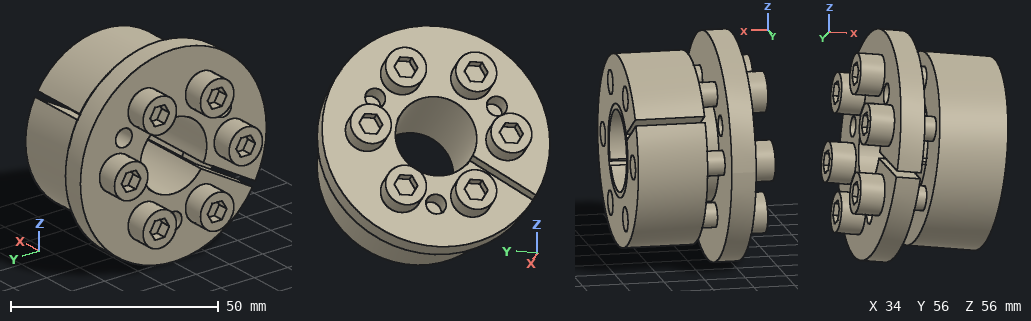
import cadquery as cq
import math


flange_thickness = 6.0
ring_gap = 5.0
ring_length = 17.0
ring_start = flange_thickness + ring_gap
ring_end = ring_start + ring_length

flange_diameter = 56.0
bore_diameter = 20.0

cone_root_diameter = 26.6
cone_half_angle = 5.0

ring_diameter = 47.0

slit_width = 1.5
ring_slit_angle = 30.0
sleeve_slit_angle = ring_slit_angle + 180.0

screw_count = 6
bolt_circle_diameter = 34.5
shank_diameter = 6.0
head_diameter = 10.0
head_height = 6.0
socket_across_flats = 5.0
socket_depth = 3.0

jack_hole_count = 3
jack_hole_diameter = 5.0
first_jack_angle = ring_slit_angle


def cone_radius(x):
    """Radius of the mating cone at axial position x."""
    drop = (x - flange_thickness) * math.tan(math.radians(cone_half_angle))
    return cone_root_diameter / 2 - drop


def bolt_circle_points(count, start_angle):
    """(Y, Z) centres spaced evenly around the bolt circle."""
    points = []
    for i in range(count):
        angle = math.radians(start_angle + i * 360.0 / count)
        y = bolt_circle_diameter / 2 * math.cos(angle)
        z = bolt_circle_diameter / 2 * math.sin(angle)
        points.append((y, z))
    return points


screw_centres = bolt_circle_points(screw_count, 0.0)
jack_centres = bolt_circle_points(jack_hole_count, first_jack_angle)


def cylinder(diameter, x_start, x_end, centres=((0, 0),)):
    """Cylinders along X at the given (Y, Z) centres."""
    return (
        cq.Workplane("YZ", origin=(x_start, 0, 0))
        .pushPoints(centres)
        .circle(diameter / 2)
        .extrude(x_end - x_start)
    )


def taper_cone():
    """Solid cone from the flange's inner face to the far end of the ring."""
    return (
        cq.Workplane("XY")
        .moveTo(flange_thickness, 0)
        .lineTo(flange_thickness, cone_radius(flange_thickness))
        .lineTo(ring_end, cone_radius(ring_end))
        .lineTo(ring_end, 0)
        .close()
        .revolve(360, (0, 0, 0), (1, 0, 0))
    )


def radial_slit(angle):
    """Slab reaching from the axis past the flange rim, over the full length."""
    return (
        cq.Workplane("XY")
        .box(ring_end, flange_diameter, slit_width, centered=(False, False, True))
        .rotate((0, 0, 0), (1, 0, 0), angle)
    )


def make_sleeve():
    """Split flange and taper sleeve with bore, screw holes and jacking holes."""
    flange = cylinder(flange_diameter, 0, flange_thickness)
    return (
        flange.union(taper_cone())
        .cut(cylinder(bore_diameter, 0, ring_end))
        .cut(cylinder(shank_diameter, 0, flange_thickness, screw_centres))
        .cut(cylinder(jack_hole_diameter, 0, flange_thickness, jack_centres))
        .cut(radial_slit(sleeve_slit_angle))
    )


def make_ring():
    """Split clamping ring with a tapered bore and through holes for the screws."""
    return (
        cylinder(ring_diameter, ring_start, ring_end)
        .cut(taper_cone())
        .cut(cylinder(shank_diameter, ring_start, ring_end, screw_centres))
        .cut(radial_slit(ring_slit_angle))
    )


def make_screw(centre):
    """Socket-head screw seated on the flange and ending flush with the ring."""
    socket_across_corners = socket_across_flats / math.cos(math.pi / 6)
    head = cylinder(head_diameter, -head_height, 0, [centre])
    shank = cylinder(shank_diameter, 0, ring_end, [centre])
    socket = (
        cq.Workplane("YZ", origin=(-head_height, 0, 0))
        .center(*centre)
        .polygon(6, socket_across_corners)
        .extrude(socket_depth)
    )
    return head.union(shank).cut(socket)


sleeve = make_sleeve().solids()
ring = make_ring().solids()
screws = [make_screw(centre).solids() for centre in screw_centres]

result = cq.Compound.makeCompound(
    [sleeve.val(), ring.val(), *[screw.val() for screw in screws]]
)